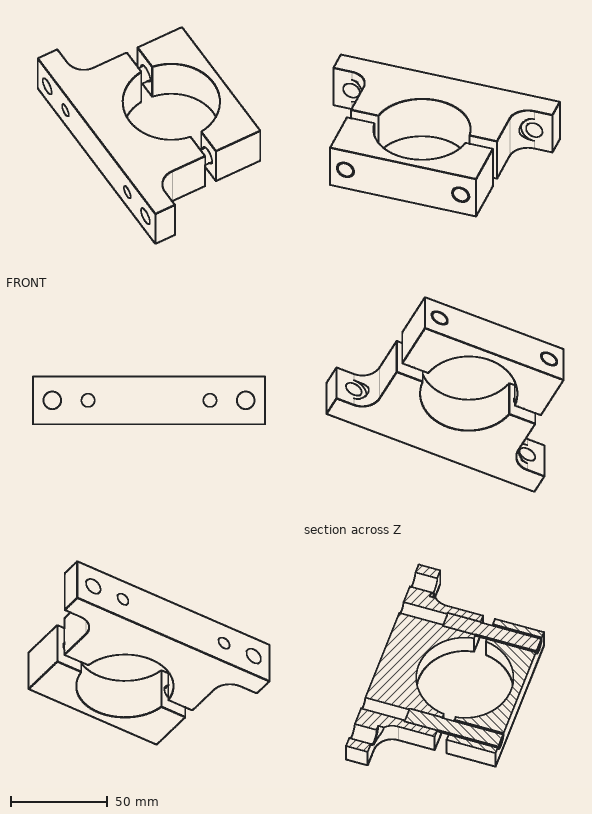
import cadquery as cq
foot_length = 120.0
thickness = 25.0
total_depth = 75.0
foot_depth = 12.0
body_width = 80.0
foot_fillet = 9.8
edge_chamfer = 0.2

bore_diameter = 50.0
bore_y = 45.0
split_gap = 6.2
base_top_y = bore_y - split_gap / 2
cap_bottom_y = bore_y + split_gap / 2

bolt_diameter = 8.2
bolt_spacing = 63.0
bolt_clearance_diameter = 9.5
bolt_engagement = 18.0
tap_drill_diameter = 6.8
mount_hole_diameter = 9.0
mount_hole_spacing = 100.0
spotface_diameter = 14.4

bolt_start_y = base_top_y - bolt_engagement


def y_cylinder(diameter, x, start_y, end_y):
    """Cylinder along Y, centred on the mid-height plane."""
    return (
        cq.Workplane("XZ", origin=(x, start_y, 0))
        .circle(diameter / 2)
        .extrude(start_y - end_y)
    )


def bore():
    """Shaft bore along Z, shared by the base and the cap."""
    return cq.Workplane("XY").center(0, bore_y).circle(bore_diameter / 2).extrude(thickness, both=True)


def block(width, start_y, end_y):
    """Full-thickness block, symmetric in X and Z."""
    depth = end_y - start_y
    return cq.Workplane("XY").box(width, depth, thickness).translate((0, (start_y + end_y) / 2, 0))


def bolt_positions():
    return (-bolt_spacing / 2, bolt_spacing / 2)


def make_base():
    base = block(foot_length, 0, foot_depth).union(block(body_width, 0, base_top_y))
    inner_corners = cq.selectors.BoxSelector(
        (-body_width / 2 - 1.2, foot_depth - 1.2, -thickness),
        (body_width / 2 + 1.2, foot_depth + 1.2, thickness),
    )
    base = base.edges("|Z").edges(inner_corners).fillet(foot_fillet)
    base = base.cut(bore())
    base = base.edges().chamfer(edge_chamfer)
    for x in (-mount_hole_spacing / 2, mount_hole_spacing / 2):
        base = base.cut(y_cylinder(mount_hole_diameter, x, 0, foot_depth))
        base = base.cut(y_cylinder(spotface_diameter, x, foot_depth, base_top_y))
    for x in bolt_positions():
        base = base.cut(y_cylinder(tap_drill_diameter, x, 0, base_top_y))
        base = base.cut(y_cylinder(bolt_diameter, x, bolt_start_y, base_top_y))
    return base


def make_cap():
    cap = block(body_width, cap_bottom_y, total_depth).cut(bore())
    cap = cap.edges().chamfer(edge_chamfer)
    for x in bolt_positions():
        cap = cap.cut(y_cylinder(bolt_clearance_diameter, x, cap_bottom_y, total_depth))
    return cap


def make_bolt(x):
    return y_cylinder(bolt_diameter, x, bolt_start_y, total_depth)


base = make_base()
cap = make_cap()
bolts = [make_bolt(x) for x in bolt_positions()]

result = cq.Compound.makeCompound([base.val(), cap.val(), *[bolt.val() for bolt in bolts]])